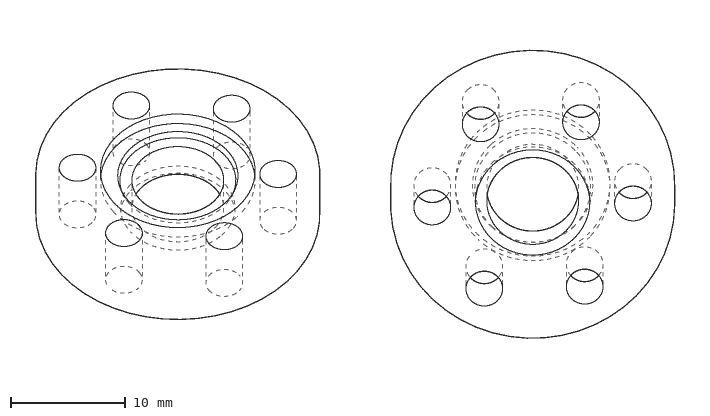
import cadquery as cq

disc_diameter = 24.8
disc_thickness = 6.0
edge_fillet = 0.5

bore_diameter = 8.0
seat_diameter = 10.12
ridge_diameter = 10.5
recess_diameter = 13.5
recess_depth = 1.22
ridge_depth = 0.62

counterbore_diameter = 10.0
counterbore_depth = 1.22

bolt_hole_count = 6
bolt_hole_diameter = 3.2
bolt_circle_diameter = 17.5


def make_disc():
    """Disc with the bottom counterbore, all its outer edges and the counterbore mouth rounded."""
    disc = cq.Workplane("XY").circle(disc_diameter / 2).extrude(disc_thickness)
    counterbore = cq.Workplane("XY").circle(counterbore_diameter / 2).extrude(counterbore_depth)
    disc = disc.cut(counterbore)
    return disc.faces("<Z or >Z").edges().fillet(edge_fillet)


def make_center_cutter():
    """Bore and top recess with its conical ridge, as one revolved profile."""
    recess_floor = disc_thickness - recess_depth
    ridge_crest = disc_thickness - ridge_depth
    profile = [
        (0, 0),
        (bore_diameter / 2, 0),
        (bore_diameter / 2, recess_floor),
        (seat_diameter / 2, recess_floor),
        (ridge_diameter / 2, ridge_crest),
        (recess_diameter / 2, recess_floor),
        (recess_diameter / 2, disc_thickness),
        (0, disc_thickness),
    ]
    return cq.Workplane("XZ").polyline(profile).close().revolve(360, (0, 0, 0), (0, 1, 0))


def make_bolt_holes():
    return (
        cq.Workplane("XY")
        .polarArray(bolt_circle_diameter / 2, 90, 360, bolt_hole_count)
        .circle(bolt_hole_diameter / 2)
        .extrude(disc_thickness)
    )


result = make_disc().cut(make_center_cutter()).cut(make_bolt_holes())